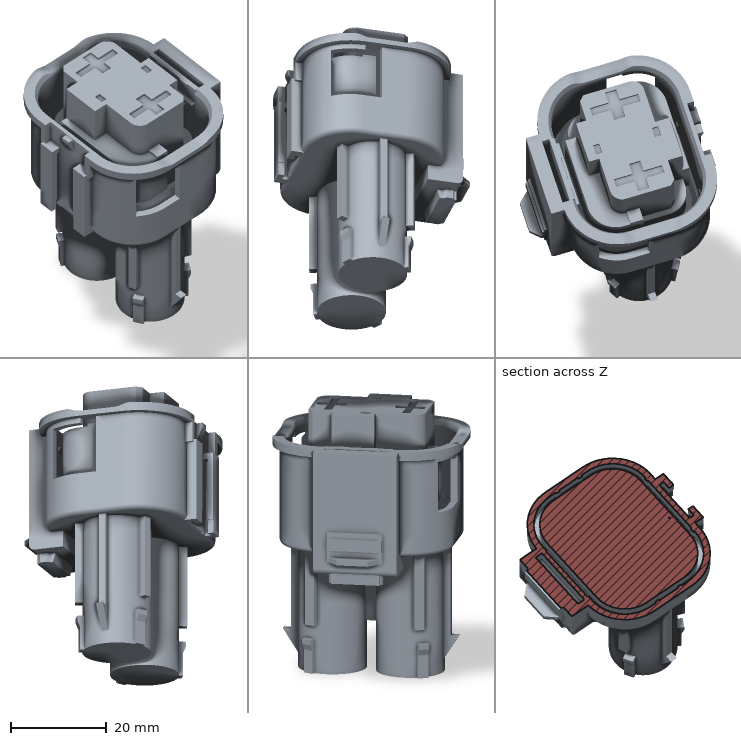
import cadquery as cq
import math

TOTAL_HEIGHT = 56.4
RIM_TOP = 50.65
RIM_BOTTOM = 48.85
BODY_BOTTOM = 27.85
CAVITY_FLOOR = 29.9
SEAL_TOP = 36.3
COLLAR_BOTTOM = 37.5
CORE_TOP = 42.6
COLLAR_TOP = 47.95

CORNER_X = 8.35
CORNER_Y = 4.95
RIM_RADIUS = 11.5
BODY_RADIUS = 10.05
MOUTH_RADIUS = 9.2
CAVITY_RADIUS = 8.6
SEAL_RADIUS = 7.45
CORE_RADIUS = 5.1
BODY_BOTTOM_FILLET = 0.9
SEAL_CHAMFER = 1.1
MOUTH_HEIGHT = 1.2

BODY_FRONT = -(CORNER_Y + BODY_RADIUS)
RIM_FRONT = -(CORNER_Y + RIM_RADIUS)

TOWER_X = 8.25
TOWER_DIAMETER = 14.4
RIB_BOTTOM = 10.55
KEY_WIDTH = 1.5

OVERLAP = 0.55


def box(x0, x1, y0, y1, z0, z1):
    """Box between two opposite corners."""
    return cq.Workplane("XY").box(x1 - x0, y1 - y0, z1 - z0, centered=False).translate((x0, y0, z0))


def rounded_prism(half_x, half_y, corner_radius, z0, z1):
    """Upright rounded rectangle centred on the Z axis, between two heights."""
    prism = box(-half_x, half_x, -half_y, half_y, z0, z1)
    return prism.edges("|Z").fillet(corner_radius)


def rounded_block(radius, z0, z1):
    """Rounded rectangle on the common corner centres, between two heights."""
    return rounded_prism(CORNER_X + radius, CORNER_Y + radius, radius, z0, z1)


def side_profile(points, half_width):
    """Prism along X with a (y, z) outline, centred on x = 0."""
    return cq.Workplane("YZ").polyline(points).close().extrude(half_width, both=True)


def front_profile(points, half_width):
    """Prism along Y with an (x, z) outline, centred on y = 0."""
    return cq.Workplane("XZ").polyline(points).close().extrude(half_width, both=True)


def half_turn(shape):
    """Copy turned by 180 degrees about the Z axis."""
    return shape.rotate((0, 0, 0), (0, 0, 1), 180)


RIM_DIP = 0.75
DIP_OUTER_Y = 7.35
DIP_INNER_Y = 3.8
DIP_ARC_WIDTH = 1.3
CAVITY_RIB_X = 7.8
CAVITY_RIB_Y = 2.95
CAVITY_RIB_WIDTH = 1.0
CAVITY_RIB_DEPTH = 0.3
CAVITY_RIB_TOP = 34.95


def rim_dip_cutter():
    """Shallow dip in the rim top at both X ends, with S-shaped ramps."""
    low = RIM_TOP - RIM_DIP
    above = RIM_TOP + OVERLAP
    slope = RIM_DIP / (DIP_OUTER_Y - DIP_INNER_Y - DIP_ARC_WIDTH)
    arc_drop = slope * DIP_ARC_WIDTH / 2
    half_arc = DIP_ARC_WIDTH / 2
    crest_y = DIP_OUTER_Y - DIP_ARC_WIDTH
    foot_y = DIP_INNER_Y + DIP_ARC_WIDTH
    crest_mid = (DIP_OUTER_Y - half_arc, RIM_TOP - arc_drop / 4)
    foot_mid = (DIP_INNER_Y + half_arc, low + arc_drop / 4)
    outline = (
        cq.Workplane("YZ")
        .moveTo(-DIP_OUTER_Y, RIM_TOP)
        .threePointArc((-crest_mid[0], crest_mid[1]), (-crest_y, RIM_TOP - arc_drop))
        .lineTo(-foot_y, low + arc_drop)
        .threePointArc((-foot_mid[0], foot_mid[1]), (-DIP_INNER_Y, low))
        .lineTo(DIP_INNER_Y, low)
        .threePointArc(foot_mid, (foot_y, low + arc_drop))
        .lineTo(crest_y, RIM_TOP - arc_drop)
        .threePointArc(crest_mid, (DIP_OUTER_Y, RIM_TOP))
        .lineTo(DIP_OUTER_Y, above)
        .lineTo(-DIP_OUTER_Y, above)
        .close()
    )
    return outline.extrude(CORNER_X + RIM_RADIUS + OVERLAP, both=True)


def housing():
    body = rounded_block(BODY_RADIUS, BODY_BOTTOM, RIM_TOP).faces("<Z").edges().fillet(BODY_BOTTOM_FILLET)
    return body.union(rounded_block(RIM_RADIUS, RIM_BOTTOM, RIM_TOP))


def cavity():
    hollow = rounded_block(CAVITY_RADIUS, CAVITY_FLOOR, RIM_TOP)
    flare_angle = math.degrees(math.atan2(MOUTH_RADIUS - CAVITY_RADIUS, MOUTH_HEIGHT))
    mouth = rounded_block(CAVITY_RADIUS, RIM_TOP - MOUTH_HEIGHT, RIM_TOP).faces("<Z").wires().toPending()
    mouth = mouth.extrude(MOUTH_HEIGHT, combine=False, taper=-flare_angle)
    return hollow.union(mouth)


def cavity_ribs():
    """Small upright ribs on the front wall and both end walls of the cavity."""
    wall_x = CORNER_X + CAVITY_RADIUS
    wall_y = CORNER_Y + CAVITY_RADIUS
    plane = cq.Workplane("XY").workplane(offset=CAVITY_FLOOR)
    front_points = [(side * CAVITY_RIB_X, -wall_y) for side in (-1, 1)]
    end_points = [(side * wall_x, end * CAVITY_RIB_Y) for side in (-1, 1) for end in (-1, 1)]
    height = CAVITY_RIB_TOP - CAVITY_FLOOR
    front_ribs = plane.pushPoints(front_points).rect(CAVITY_RIB_WIDTH, 2 * CAVITY_RIB_DEPTH).extrude(height)
    end_ribs = plane.pushPoints(end_points).rect(2 * CAVITY_RIB_DEPTH, CAVITY_RIB_WIDTH).extrude(height)
    return front_ribs.union(end_ribs)


WINDOW_Y = (0.85, 11.2)
WINDOW_Z = (36.8, 47.7)
WINDOW_NOTCH_END_Y = 4.35
WINDOW_INNER_X = 12.4


def window():
    """Window in the -X wall, raised to the rim above the collar key."""
    outer_x = CORNER_X + BODY_RADIUS + OVERLAP
    opening = box(-outer_x, -WINDOW_INNER_X, *WINDOW_Y, *WINDOW_Z)
    notch = box(-outer_x, -WINDOW_INNER_X, WINDOW_Y[0], WINDOW_NOTCH_END_Y, WINDOW_Z[0], RIM_BOTTOM)
    return opening.union(notch)


GAP_HALF_WIDTH = 6.05
LEG_OUTER_X = 7.45
LEG_BOTTOM = 44.7
GUIDE_OUTER_X = 6.75
GUIDE_INNER_X = 3.2
GUIDE_FOOT_X = 3.45
GUIDE_FOOT_TOP = 30.75
GUIDE_TOP = 45.3
GUIDE_FRONT = -17.15
CHANNEL_TOP = 44.0
CHANNEL_DRAFT = 0.3
CHANNEL_HALF_WIDTH = 5.1
GUIDE_LIP_BACK = -15.85
CATCH_HALF_WIDTH = 1.0
CATCH_FRONT = -16.35
CATCH_NOSE_Z = 49.75
CATCH_BOTTOM = 47.0
CATCH_BEVEL = 0.35
CATCH_BEVEL_DROP = 0.15
CATCH_OUTLINE = [
    (BODY_FRONT + OVERLAP, RIM_TOP),
    (BODY_FRONT, RIM_TOP),
    (BODY_FRONT, RIM_TOP - CATCH_BEVEL_DROP),
    (BODY_FRONT - CATCH_BEVEL, RIM_TOP),
    (CATCH_FRONT, RIM_TOP),
    (CATCH_FRONT, CATCH_NOSE_Z),
    (BODY_FRONT, CATCH_BOTTOM),
    (BODY_FRONT + OVERLAP, CATCH_BOTTOM),
]


def front_guide():
    """Right-hand rim leg and guide rib."""
    leg = box(GAP_HALF_WIDTH, LEG_OUTER_X, RIM_FRONT, BODY_FRONT + OVERLAP, LEG_BOTTOM, RIM_TOP)
    rib = box(GUIDE_INNER_X, GUIDE_OUTER_X, GUIDE_FRONT, BODY_FRONT + OVERLAP, BODY_BOTTOM, GUIDE_TOP)
    foot_relief = box(GUIDE_INNER_X, GUIDE_FOOT_X, GUIDE_FRONT, BODY_FRONT, BODY_BOTTOM, GUIDE_FOOT_TOP)
    return leg.union(rib.cut(foot_relief))


def front_channel():
    """Channel behind the lips of the guide ribs, with a slight draft on its wall."""
    outline = [
        (GUIDE_LIP_BACK, CHANNEL_TOP),
        (BODY_FRONT, CHANNEL_TOP),
        (BODY_FRONT + CHANNEL_DRAFT, BODY_BOTTOM),
        (GUIDE_LIP_BACK, BODY_BOTTOM),
    ]
    return side_profile(outline, CHANNEL_HALF_WIDTH)


BLOCK_HALF_WIDTH = 8.8
BLOCK_BACK = 19.35
BLOCK_FRONT = 11.8
BLOCK_BOTTOM = 24.4
BLOCK_EDGE_RADIUS = 1.1
SLOT_HALF_WIDTH = 7.1
SLOT_BACK = 16.35
TONGUE_BACK = 14.8
TONGUE_FRONT = 13.7
SHELF_FRONT = 12.7
SHELF_TOP = 46.8
SHELF_HEIGHT = 1.1
PAD_X = (2.4, 4.7)
PAD_BOTTOM = 50.1
PAD_DEPTH = 0.2
THUMB_BACK = 22.4
THUMB_ROOT_Y = 20.35
THUMB_TOP = 28.4
THUMB_BOTTOM = 27.35
GUSSET_BACK = 21.45
GUSSET_BOTTOM = 26.8
THUMB_HALF_WIDTH = 5.2
THUMB_TIP_HALF_WIDTH = 3.25
PLATE_BACK = 19.9
PLATE_TOP = 33.65
PLATE_HALF_WIDTH = 6.1
PLATE_TAPER = 0.35
BEAD_Z = (29.9, 32.4)
FOOT_BOTTOM = 22.5
FOOT_BACK = 19.0
FOOT_FRONT = 14.9
FOOT_TIP_FRONT = 15.4
FOOT_HALF_WIDTH = 5.1
FOOT_BULGE = 0.55
FOOT_BULGE_Y = (15.95, 16.75, 18.05, 18.6)


def lock_block():
    block = box(-BLOCK_HALF_WIDTH, BLOCK_HALF_WIDTH, BLOCK_FRONT, BLOCK_BACK, BLOCK_BOTTOM, RIM_TOP)
    block = block.faces(">Y").edges("<Z").fillet(BLOCK_EDGE_RADIUS)
    foot = side_profile(
        [
            (FOOT_BACK, BLOCK_BOTTOM + OVERLAP),
            (FOOT_BACK, FOOT_BOTTOM),
            (FOOT_TIP_FRONT, FOOT_BOTTOM),
            (FOOT_FRONT, BLOCK_BOTTOM),
            (FOOT_FRONT, BLOCK_BOTTOM + OVERLAP),
        ],
        FOOT_HALF_WIDTH,
    )
    y0, y1, y2, y3 = FOOT_BULGE_Y
    wide = FOOT_HALF_WIDTH + FOOT_BULGE
    right_side = [(FOOT_HALF_WIDTH, y0), (wide, y1), (wide, y2), (FOOT_HALF_WIDTH, y3)]
    left_side = [(-x, y) for x, y in reversed(right_side)]
    bulge = cq.Workplane("XY").workplane(offset=FOOT_BOTTOM).polyline(right_side + left_side).close()
    bulge = bulge.extrude(BLOCK_BOTTOM - FOOT_BOTTOM)
    return block.union(foot).union(bulge)


def thumb_tab():
    """Release tab with its backing plate and bead on the lock block."""
    outline = [
        (-THUMB_HALF_WIDTH, BLOCK_BACK - OVERLAP),
        (-THUMB_HALF_WIDTH, THUMB_ROOT_Y),
        (-THUMB_TIP_HALF_WIDTH, THUMB_BACK),
        (THUMB_TIP_HALF_WIDTH, THUMB_BACK),
        (THUMB_HALF_WIDTH, THUMB_ROOT_Y),
        (THUMB_HALF_WIDTH, BLOCK_BACK - OVERLAP),
    ]
    tab = cq.Workplane("XY").workplane(offset=THUMB_BOTTOM).polyline(outline).close()
    tab = tab.extrude(THUMB_TOP - THUMB_BOTTOM)
    gusset = side_profile(
        [
            (BLOCK_BACK - OVERLAP, THUMB_BOTTOM),
            (GUSSET_BACK, THUMB_BOTTOM),
            (BLOCK_BACK, GUSSET_BOTTOM),
            (BLOCK_BACK - OVERLAP, GUSSET_BOTTOM),
        ],
        THUMB_TIP_HALF_WIDTH,
    )
    plate_tip = PLATE_HALF_WIDTH - PLATE_TAPER
    plate_outline = [
        (-PLATE_HALF_WIDTH, BLOCK_BACK),
        (-plate_tip, PLATE_BACK),
        (plate_tip, PLATE_BACK),
        (PLATE_HALF_WIDTH, BLOCK_BACK),
    ]
    plate = cq.Workplane("XY").workplane(offset=THUMB_BOTTOM).polyline(plate_outline).close()
    plate = plate.extrude(PLATE_TOP - THUMB_BOTTOM)
    bead = box(-plate_tip, plate_tip, BLOCK_BACK, THUMB_ROOT_Y, *BEAD_Z)
    return tab.union(gusset).union(plate).union(bead)


def tongue():
    """Spring tongue across the lock slot, with its latch shelf and two pads."""
    strip = box(-SLOT_HALF_WIDTH, SLOT_HALF_WIDTH, TONGUE_FRONT, TONGUE_BACK, CAVITY_FLOOR, RIM_TOP)
    shelf = side_profile(
        [(TONGUE_FRONT, SHELF_TOP), (SHELF_FRONT, SHELF_TOP), (TONGUE_FRONT, SHELF_TOP - SHELF_HEIGHT)],
        SLOT_HALF_WIDTH,
    )
    strip = strip.union(shelf)
    for x0, x1 in (PAD_X, (-PAD_X[1], -PAD_X[0])):
        strip = strip.union(box(x0, x1, TONGUE_FRONT - PAD_DEPTH, TONGUE_FRONT, PAD_BOTTOM, RIM_TOP))
    return strip


COLLAR_HALF_X = 15.0
COLLAR_HALF_Y = 11.4
COLLAR_CORNER_RADIUS = 6.1
COLLAR_STOP_X = 6.75
COLLAR_STOP_Y = 1.2
KEY_Y = (COLLAR_STOP_Y, 4.0)
KEY_TOP = 48.5
PEDESTAL_HALF_X = 12.3
PEDESTAL_HALF_Y = 6.75
PEDESTAL_FILLET = 2.55
PEDESTAL_CHAMFER = 1.05
STEP_X = (-2.15, 6.75)
STEP_BACK = 9.0
STEP_FRONT = -9.9
CROSS_X = 8.3
CROSS_BAR_WIDTH = 1.7
CROSS_BAR_LENGTH = 10.55
CROSS_ARM_WIDTH = 2.4
CROSS_ARM_LENGTH = 6.3
PROBE_WIDTH = 2.1
PROBE_LENGTH = 1.35
PROBE_Y = 6.45
RECESS_DEPTH = 0.55


def collar():
    """Locking collar: two opposite corner segments, each with a key on its end."""
    segment = rounded_prism(COLLAR_HALF_X, COLLAR_HALF_Y, COLLAR_CORNER_RADIUS, COLLAR_BOTTOM, COLLAR_TOP)
    reach = CORNER_X + RIM_RADIUS
    segment = segment.intersect(box(-reach, COLLAR_STOP_X, COLLAR_STOP_Y, reach, COLLAR_BOTTOM, COLLAR_TOP))
    segment = segment.union(box(-COLLAR_HALF_X, -PEDESTAL_HALF_X, *KEY_Y, COLLAR_BOTTOM, KEY_TOP))
    return segment.union(half_turn(segment))


def pedestal():
    block = box(-PEDESTAL_HALF_X, PEDESTAL_HALF_X, -PEDESTAL_HALF_Y, PEDESTAL_HALF_Y, SEAL_TOP, TOTAL_HEIGHT)
    for corner in ("<X and >Y", ">X and <Y"):
        block = block.edges("|Z and " + corner).fillet(PEDESTAL_FILLET)
    bevel = PEDESTAL_HALF_X + PEDESTAL_HALF_Y - PEDESTAL_CHAMFER
    reach = PEDESTAL_HALF_X + OVERLAP
    corner_cut = (
        cq.Workplane("XY")
        .workplane(offset=SEAL_TOP)
        .polyline([(bevel - reach, reach), (reach, bevel - reach), (reach, reach)])
        .close()
        .extrude(TOTAL_HEIGHT - SEAL_TOP)
    )
    block = block.cut(corner_cut).cut(half_turn(corner_cut))
    block = block.union(box(*STEP_X, 0, STEP_BACK, SEAL_TOP, TOTAL_HEIGHT))
    return block.union(box(-STEP_X[1], -STEP_X[0], STEP_FRONT, 0, SEAL_TOP, TOTAL_HEIGHT))


def pedestal_recesses():
    """Two terminal crosses and two probe openings in the pedestal top."""
    plane = cq.Workplane("XY").workplane(offset=TOTAL_HEIGHT - RECESS_DEPTH)
    crosses = plane.pushPoints([(-CROSS_X, 0), (CROSS_X, 0)])
    bars = crosses.rect(CROSS_BAR_WIDTH, CROSS_BAR_LENGTH).extrude(RECESS_DEPTH)
    arms = crosses.rect(CROSS_ARM_LENGTH, CROSS_ARM_WIDTH).extrude(RECESS_DEPTH)
    probes = plane.pushPoints([(0, -PROBE_Y), (0, PROBE_Y)]).rect(PROBE_WIDTH, PROBE_LENGTH)
    return bars.union(arms).union(probes.extrude(RECESS_DEPTH))


def insert():
    seal = rounded_block(SEAL_RADIUS, BODY_BOTTOM + OVERLAP, SEAL_TOP)
    seal = seal.faces(">Z").edges().chamfer(SEAL_CHAMFER)
    core = rounded_block(CORE_RADIUS, SEAL_TOP, CORE_TOP)
    return seal.union(core).union(collar()).union(pedestal()).cut(pedestal_recesses())


BARB_OUTER_X = 18.65
BARB_KEY_X = 16.9
BARB_TOP = 7.9
BARB_BOTTOM = 2.8
WEB_BOTTOM = 10.4
FRONT_RIB = {"angle": 23, "reach": 8.85, "width": 1.65}
BACK_RIB = {"angle": 23, "reach": 8.75, "width": 2.15}
CLIP_ANGLE = 30
CLIP_WIDTH = 2.25
CLIP_REACH = 7.95
CLIP_HEAD_REACH = 8.5
CLIP_RAMP_Z = (4.95, 6.25)
CLIP_TOP = 7.4
TOWER_ROOT = 4.5


def place_radially(shape, angle, front):
    """Turn a shape on the -Y axis towards +X, mirror it for the back, and move it to the tower."""
    turned = shape.rotate((0, 0, 0), (0, 0, 1), angle)
    if not front:
        turned = turned.mirror("XZ")
    return turned.translate((TOWER_X, 0, 0))


def long_rib(front):
    rib = FRONT_RIB if front else BACK_RIB
    half = rib["width"] / 2
    blade = box(-half, half, -rib["reach"], -TOWER_ROOT, RIB_BOTTOM, BODY_BOTTOM + OVERLAP)
    return place_radially(blade, rib["angle"], front)


def clip(front):
    outline = [
        (-TOWER_ROOT, 0),
        (-CLIP_REACH, 0),
        (-CLIP_REACH, CLIP_RAMP_Z[0]),
        (-CLIP_HEAD_REACH, CLIP_RAMP_Z[1]),
        (-CLIP_HEAD_REACH, CLIP_TOP),
        (-TOWER_ROOT, CLIP_TOP),
    ]
    return place_radially(side_profile(outline, CLIP_WIDTH / 2), CLIP_ANGLE, front)


def tower():
    """Right-hand tower with its side barb, ribs and clips."""
    radius = TOWER_DIAMETER / 2
    post = cq.Workplane("XY").center(TOWER_X, 0).circle(radius).extrude(BODY_BOTTOM + OVERLAP)
    barb = front_profile(
        [
            (TOWER_X, BODY_BOTTOM + OVERLAP),
            (BARB_KEY_X, BODY_BOTTOM + OVERLAP),
            (BARB_KEY_X, BARB_TOP),
            (BARB_OUTER_X, BARB_TOP),
            (TOWER_X + radius, BARB_BOTTOM),
            (TOWER_X, BARB_BOTTOM),
        ],
        KEY_WIDTH / 2,
    )
    post = post.union(barb)
    for front in (True, False):
        post = post.union(long_rib(front)).union(clip(front))
    return post


def towers():
    right = tower()
    web_half = TOWER_X - TOWER_DIAMETER / 2 + OVERLAP
    web = box(-web_half, web_half, -KEY_WIDTH / 2, KEY_WIDTH / 2, WEB_BOTTOM, BODY_BOTTOM + OVERLAP)
    return right.union(right.mirror("YZ")).union(web)


rim_gap = box(-GAP_HALF_WIDTH, GAP_HALF_WIDTH, RIM_FRONT - OVERLAP, BODY_FRONT, RIM_BOTTOM - OVERLAP, RIM_TOP)
lock_slot = box(-SLOT_HALF_WIDTH, SLOT_HALF_WIDTH, CORNER_Y, SLOT_BACK, CAVITY_FLOOR, RIM_TOP)

result = housing().cut(rim_dip_cutter()).cut(rim_gap)
right_guide = front_guide()
result = result.union(right_guide).union(right_guide.mirror("YZ")).cut(front_channel())
result = result.union(side_profile(CATCH_OUTLINE, CATCH_HALF_WIDTH))
result = result.union(lock_block()).union(thumb_tab())
result = result.cut(cavity()).cut(lock_slot).cut(window()).cut(half_turn(window()))
result = result.union(cavity_ribs()).union(tongue()).union(insert()).union(towers())